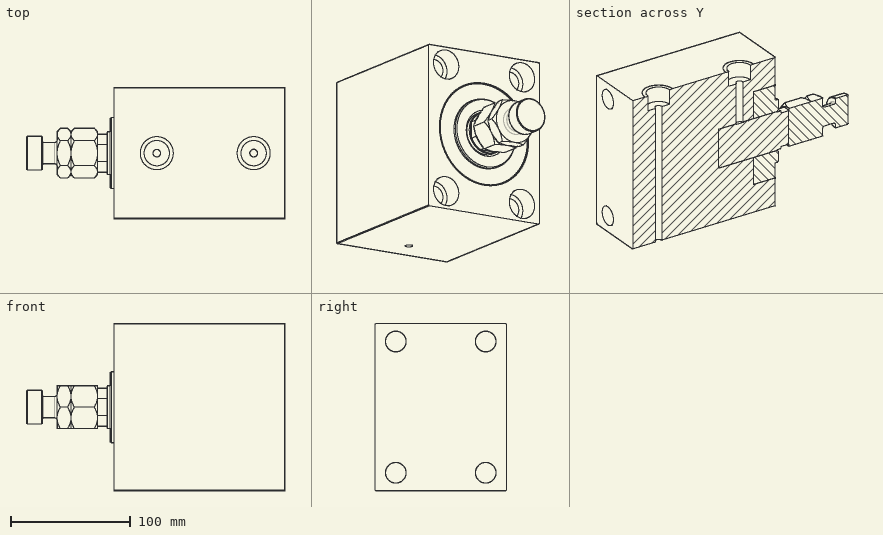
import cadquery as cq
import math

total_length = 216.0
head_end = 13.2
stud_hex_start = 25.5
hex_joint = 37.2
rod_start = 59.5
collar_start = 67.2
gland_front = 69.8
housing_front = 73.0
gland_depth = 21.5
rod_end = 129.5

housing_width = 110.0
housing_height = 140.0
housing_edge_chamfer = 0.6
bolt_spacing_y = 75.2
bolt_spacing_z = 109.7
bolt_hole_diameter = 17.0
bolt_counterbore_diameter = 25.0
bolt_counterbore_depth = 18.4

front_port_x = 108.9
rear_port_x = 189.9
spotface_diameter = 27.6
spotface_depth = 0.2
port_diameter = 21.2
port_depth = 13.8
oil_hole_diameter = 6.3

gland_diameter = 86.8
gland_seat_chamfer = 0.9
flange_diameter = 59.6
flange_chamfer_length = 1.3
flange_chamfer_height = 0.9
gland_bore_chamfer = 1.7

rod_diameter = 36.0
rod_collar_chamfer = 0.6
rod_neck_diameter = 35.0
rod_across_flats = 32.0

head_diameter = 28.3
head_chamfer = 0.6
stud_neck_diameter = 18.1
head_fillet = 1.0
hex_fillet = 2.0
hex_across_flats = 36.0
hex_across_corners = hex_across_flats / math.cos(math.pi / 6)
hex_chamfer = (hex_across_corners - hex_across_flats) / 2


def cylinder_x(diameter, start, end):
    """Solid cylinder on the rod axis between two X positions."""
    return cq.Workplane("YZ").workplane(offset=start).circle(diameter / 2).extrude(end - start)


def make_housing():
    length = total_length - housing_front
    block = (
        cq.Workplane("YZ")
        .workplane(offset=housing_front)
        .rect(housing_width, housing_height)
        .extrude(length)
        .edges("|X")
        .chamfer(housing_edge_chamfer)
    )
    block = (
        block.faces("<X")
        .workplane(centerOption="CenterOfBoundBox")
        .rect(bolt_spacing_y, bolt_spacing_z, forConstruction=True)
        .vertices()
        .cboreHole(bolt_hole_diameter, bolt_counterbore_diameter, bolt_counterbore_depth)
    )
    gland_seat = cylinder_x(gland_diameter, housing_front, housing_front + gland_depth)
    block = block.cut(gland_seat)
    seat_rim = cq.selectors.RadiusNthSelector(-1)
    block = block.faces("<X").edges(seat_rim).chamfer(gland_seat_chamfer)
    block = block.cut(cylinder_x(rod_diameter, housing_front, rod_end))
    block = cut_port(block, front_port_x, housing_height / 2)
    return cut_port(block, rear_port_x, housing_height)


def cut_port(block, x, oil_hole_depth):
    """Spotfaced port with a narrow oil hole, sunk into the top face."""
    steps = (
        (spotface_diameter, spotface_depth),
        (port_diameter, port_depth),
        (oil_hole_diameter, oil_hole_depth),
    )
    for diameter, depth in steps:
        top = cq.Workplane("XY", origin=(x, 0, housing_height / 2))
        block = block.cut(top.circle(diameter / 2).extrude(-depth))
    return block


def make_gland():
    body = cylinder_x(gland_diameter, housing_front, housing_front + gland_depth)
    flange = (
        cylinder_x(flange_diameter, gland_front, housing_front)
        .faces("<X")
        .edges()
        .chamfer(flange_chamfer_length, flange_chamfer_height)
    )
    bore = cylinder_x(rod_diameter, gland_front, housing_front + gland_depth)
    gland = body.union(flange).cut(bore)
    bore_rim = cq.selectors.RadiusNthSelector(0)
    return gland.faces("<X").edges(bore_rim).chamfer(gland_bore_chamfer)


def make_rod():
    shank = cylinder_x(rod_diameter, collar_start, rod_end).faces("<X").chamfer(rod_collar_chamfer)
    flats = (
        cq.Workplane("YZ")
        .workplane(offset=rod_start)
        .rect(rod_across_flats, rod_across_flats)
        .extrude(collar_start - rod_start)
    )
    neck = cylinder_x(rod_neck_diameter, rod_start, collar_start).intersect(flats)
    return shank.union(neck)


def make_hexagon(start, end):
    """Hexagon with both ends chamfered down to the width across flats."""
    prism = (
        cq.Workplane("YZ")
        .workplane(offset=start)
        .polygon(6, hex_across_corners)
        .extrude(end - start)
    )
    envelope = cylinder_x(hex_across_corners, start, end).faces("<X or >X").chamfer(hex_chamfer)
    return prism.intersect(envelope)


def make_stud():
    neck_radius = stud_neck_diameter / 2
    profile = (
        cq.Workplane("XY")
        .lineTo(0, head_diameter / 2 - head_chamfer)
        .lineTo(head_chamfer, head_diameter / 2)
        .lineTo(head_end - head_chamfer, head_diameter / 2)
        .lineTo(head_end, head_diameter / 2 - head_chamfer)
        .lineTo(head_end, neck_radius + head_fillet)
        .radiusArc((head_end + head_fillet, neck_radius), -head_fillet)
        .lineTo(stud_hex_start - hex_fillet, neck_radius)
        .radiusArc((stud_hex_start, neck_radius + hex_fillet), -hex_fillet)
        .lineTo(stud_hex_start, 0)
        .close()
    )
    turned = profile.revolve(360, (0, 0, 0), (1, 0, 0))
    return turned.union(make_hexagon(stud_hex_start, hex_joint)).union(make_hexagon(hex_joint, rod_start))


housing = make_housing()
gland = make_gland()
rod = make_rod()
stud = make_stud()
result = cq.Compound.makeCompound([housing.val(), gland.val(), rod.val(), stud.val()])